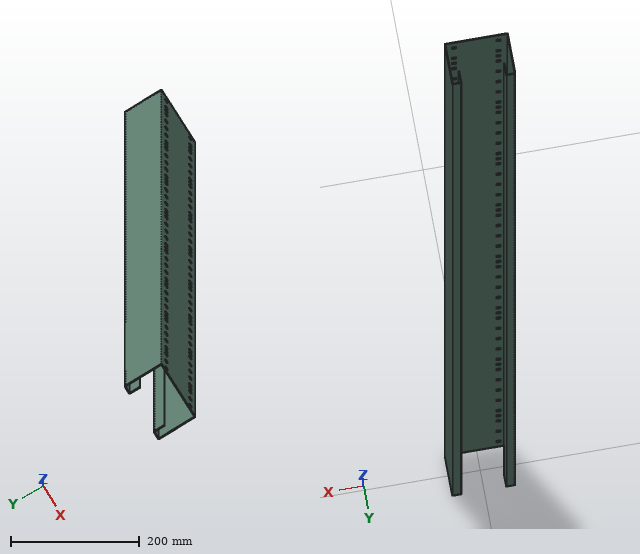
import cadquery as cq

width = 100.0
depth = 68.0
length = 2000.0
sheet = 1.5

bend_radius = sheet

lip_width = 15.0
return_depth = 20.0

hole_diameter = 7.0
row_spacing = 70.0
hole_pitch = 50.0
end_margin = hole_pitch / 2
extra_hole_pitch = 5 * hole_pitch
first_extra_hole = 3 * hole_pitch

half_width = width / 2
web_face_y = -depth / 2
lip_face_y = depth / 2
lip_end_x = half_width - lip_width


def round_bend(body, corner_x, corner_y):
    """Round the outside edge of the sheet bend at the given corner of the section."""
    edge = cq.selectors.NearestToPointSelector((corner_x, corner_y, length / 2))
    return body.edges("|Z").edges(edge).fillet(bend_radius)


def channel_half():
    """Half of the lipped channel on the +X side."""
    wall_inner_x = half_width - sheet
    web_inner_y = web_face_y + sheet
    lip_inner_y = lip_face_y - sheet
    return_inner_x = lip_end_x + sheet
    return_end_y = lip_face_y - return_depth
    outline = [
        (0, web_face_y),
        (half_width, web_face_y),
        (half_width, lip_face_y),
        (lip_end_x, lip_face_y),
        (lip_end_x, return_end_y),
        (return_inner_x, return_end_y),
        (return_inner_x, lip_inner_y),
        (wall_inner_x, lip_inner_y),
        (wall_inner_x, web_inner_y),
        (0, web_inner_y),
    ]
    body = cq.Workplane("XY").polyline(outline).close().extrude(length)
    body = round_bend(body, half_width, web_face_y)
    body = round_bend(body, half_width, lip_face_y)
    return round_bend(body, lip_end_x, lip_face_y)


def hole_heights():
    """Regular holes along the length, plus extra ones halfway between some neighbours."""
    regular_count = int(length / hole_pitch)
    extra_count = int(length / extra_hole_pitch)
    regular = [end_margin + i * hole_pitch for i in range(regular_count)]
    extra = [first_extra_hole + i * extra_hole_pitch for i in range(extra_count)]
    return regular + extra


def web_holes():
    """Cylinders that pierce the web in two mirrored rows."""
    centers = [(x, z) for x in (-row_spacing / 2, row_spacing / 2) for z in hole_heights()]
    web_plane = cq.Workplane("XZ", origin=(0, web_face_y, 0))
    return web_plane.pushPoints(centers).circle(hole_diameter / 2).extrude(-sheet)


half = channel_half()
channel = half.union(half.mirror("YZ")).clean()
result = channel.cut(web_holes())